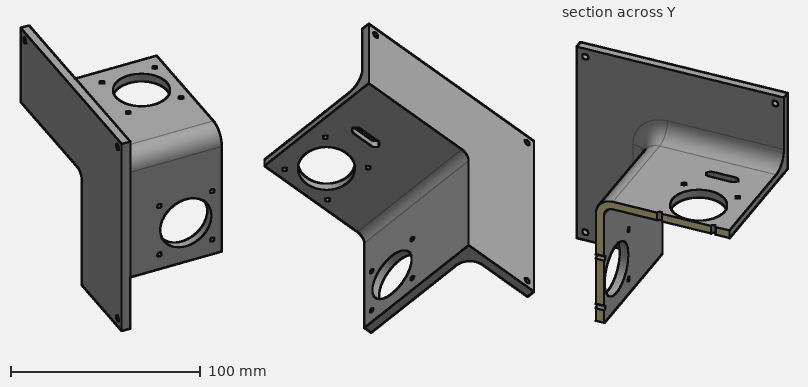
import cadquery as cq

side = 120.0
depth = 80.0
thickness = 5.0
arm_width = 47.5
inner_bend_radius = 5.0
outer_bend_radius = inner_bend_radius + thickness
root_fillet = 10.0

mount_diameter = 3.4
mount_inset = 5.0

motor_bore = 30.0
motor_screw_pitch = 31.1
motor_screw_diameter = 2.5
motor_end_offset = 25.0
motor_back_offset = 21.2

slot_length = 18.7
slot_straight_length = 12.5
slot_width = 4.8
slot_back_offset = 51.4

inner_x = side - arm_width
inner_z = side - arm_width
motor_y = depth - motor_back_offset

root_band = 0.1


def corner_block(size, height, radius):
    """Square block from the origin along +Y, with its +X +Z edge rounded."""
    block = cq.Workplane("XY").box(size, height, size, centered=False)
    return block.edges(">X and >Z").fillet(radius)


def make_bracket():
    """L-shaped face plate and bent shelf, blended along the outside of the bend."""
    plate = cq.Workplane("XY").box(side, thickness, side, centered=False)
    bend = corner_block(inner_x + thickness, depth, outer_bend_radius)
    body = plate.union(bend)
    root_edges = cq.selectors.BoxSelector(
        (root_band, thickness - root_band, root_band),
        (side - root_band, thickness + root_band, side - root_band),
    )
    body = body.edges(root_edges).fillet(root_fillet)
    return body.cut(corner_block(inner_x, depth, inner_bend_radius))


def motor_cutter(plane):
    """Bore and four screw holes, centred on the plane and cutting along its normal."""
    cut_depth = 2 * thickness
    bore = cq.Workplane(plane).circle(motor_bore / 2).extrude(cut_depth)
    screws = (
        cq.Workplane(plane)
        .rect(motor_screw_pitch, motor_screw_pitch, forConstruction=True)
        .vertices()
        .circle(motor_screw_diameter / 2)
        .extrude(cut_depth)
    )
    return bore.union(screws)


def mount_cutter():
    """Screw holes at the three outer corners of the face plate."""
    far = side - mount_inset
    corners = [(mount_inset, far), (far, far), (far, mount_inset)]
    return (
        cq.Workplane("XZ")
        .pushPoints(corners)
        .circle(mount_diameter / 2)
        .extrude(-thickness)
    )


def slot_cutter():
    """Slot with pointed arch ends through the shelf, in line with the motor bore."""
    tip = slot_length / 2
    shoulder = slot_straight_length / 2
    half_width = slot_width / 2
    end_run = tip - shoulder
    arc_radius = (end_run**2 + half_width**2) / (2 * half_width)
    return (
        cq.Workplane("XY", origin=(motor_end_offset, depth - slot_back_offset, inner_z))
        .moveTo(-shoulder, half_width)
        .lineTo(shoulder, half_width)
        .radiusArc((tip, 0), arc_radius)
        .radiusArc((shoulder, -half_width), arc_radius)
        .lineTo(-shoulder, -half_width)
        .radiusArc((-tip, 0), arc_radius)
        .radiusArc((-shoulder, half_width), arc_radius)
        .close()
        .extrude(thickness)
    )


shelf_plane = cq.Plane(
    origin=(motor_end_offset, motor_y, inner_z - thickness / 2), xDir=(1, 0, 0), normal=(0, 0, 1)
)
wall_plane = cq.Plane(
    origin=(inner_x - thickness / 2, motor_y, motor_end_offset), xDir=(0, 1, 0), normal=(1, 0, 0)
)

result = (
    make_bracket()
    .cut(motor_cutter(shelf_plane))
    .cut(motor_cutter(wall_plane))
    .cut(mount_cutter())
    .cut(slot_cutter())
)